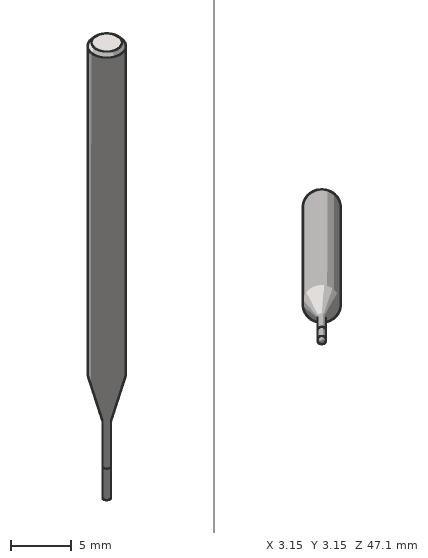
import cadquery as cq

total_length = 47.15
shank_diameter = 3.15
neck_diameter = 0.7

tip_cone_height = 0.15
cutter_length = 3.4
taper_bottom = 8.05
taper_top = 12.85

shank_chamfer_width = 0.35
shank_chamfer_height = 0.4


def make_holder():
    """Chamfered shank, conical taper and slim neck, turned about Z."""
    shank_radius = shank_diameter / 2
    neck_radius = neck_diameter / 2
    return (
        cq.Workplane("XZ")
        .moveTo(0, cutter_length)
        .lineTo(neck_radius, cutter_length)
        .lineTo(neck_radius, taper_bottom)
        .lineTo(shank_radius, taper_top)
        .lineTo(shank_radius, total_length - shank_chamfer_height)
        .lineTo(shank_radius - shank_chamfer_width, total_length)
        .lineTo(0, total_length)
        .close()
        .revolve(360, (0, 0, 0), (0, 1, 0))
    )


def make_cutter():
    """Cutting end, as thick as the neck, with a shallow conical tip."""
    cutter_radius = neck_diameter / 2
    return (
        cq.Workplane("XZ")
        .lineTo(cutter_radius, tip_cone_height)
        .lineTo(cutter_radius, cutter_length)
        .lineTo(0, cutter_length)
        .close()
        .revolve(360, (0, 0, 0), (0, 1, 0))
    )


holder = make_holder()
cutter = make_cutter()

result = cq.Compound.makeCompound([holder.val(), cutter.val()])